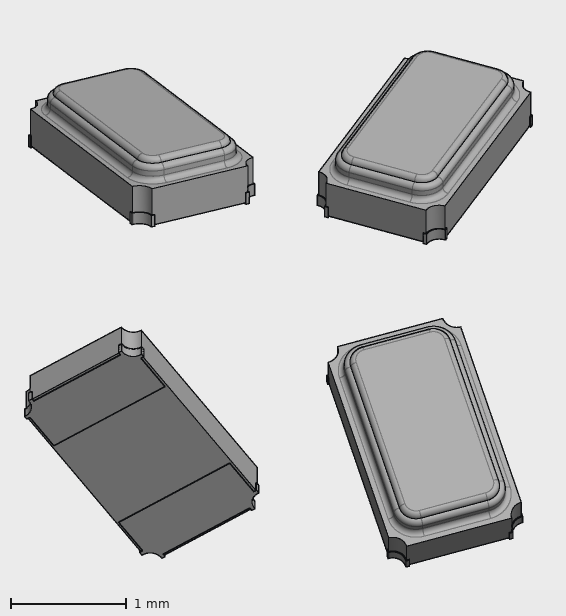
import cadquery as cq

length = 2.07
width = 1.22
plating = 0.01
base_length = length - 2 * plating
base_width = width - 2 * plating
base_top = 0.36
notch_radius = 0.125

terminal_height = 0.11
terminal_reach = 0.15
pad_span = 0.532
pad_inset = 0.02

overall_height = 0.56
lid_height = overall_height - base_top
band = lid_height / 4
lid_margin = 0.05
lid_corner_radius = 0.25
foot_length = base_length - 2 * lid_margin
foot_width = base_width - 2 * lid_margin

corner_points = [
    (x_side * base_length / 2, y_side * base_width / 2)
    for x_side in (-1, 1)
    for y_side in (-1, 1)
]


def block(size_x, size_y, bottom, top):
    """Box centred in X and Y between two heights."""
    return cq.Workplane("XY").workplane(offset=bottom).rect(size_x, size_y).extrude(top - bottom)


def corner_cylinders(radius, height):
    """Upright cylinders centred on the four corners of the base."""
    return cq.Workplane("XY").pushPoints(corner_points).circle(radius).extrude(height)


def lid_tier(inset, bottom, top):
    """Rounded-corner slab set in from the lid foot, with a rounded upper edge."""
    slab = block(foot_length - 2 * inset, foot_width - 2 * inset, bottom, top)
    slab = slab.edges("|Z").fillet(lid_corner_radius - inset)
    return slab.faces(">Z").edges().fillet(band)


def make_flare():
    """Concave sweep from the lid foot up to the lower wall."""
    foot = block(foot_length, foot_width, base_top, base_top + band)
    foot = foot.edges("|Z").fillet(lid_corner_radius)
    path = foot.faces(">Z").wires().val()
    start = cq.Plane(origin=(0, -foot_width / 2, base_top + band), xDir=(0, 1, 0), normal=(1, 0, 0))
    rod = cq.Workplane(start).circle(band).sweep(cq.Workplane(path))
    return foot.cut(rod)


def make_base():
    """Ceramic block with notched corners, raised by the pad thickness."""
    base = block(base_length, base_width, plating, base_top)
    return base.cut(corner_cylinders(notch_radius, base_top))


def make_terminals():
    """Plated corner wraps, following the notches and ending in short tabs."""
    inner_radius = notch_radius - plating
    wrap = (
        cq.Workplane("XY")
        .moveTo(inner_radius, 0)
        .lineTo(inner_radius, -plating)
        .lineTo(terminal_reach, -plating)
        .lineTo(terminal_reach, terminal_reach)
        .lineTo(-plating, terminal_reach)
        .lineTo(-plating, inner_radius)
        .lineTo(0, inner_radius)
        .radiusArc((inner_radius, 0), inner_radius)
        .close()
        .extrude(terminal_height)
        .translate((-base_length / 2, -base_width / 2, 0))
    )
    end_pair = wrap.union(wrap.mirror("XZ"))
    return end_pair.union(end_pair.mirror("YZ"))


def make_pads():
    """One flat pad across each end of the underside."""
    pad_gap = length - 2 * pad_span
    outline = block(base_length - 2 * pad_inset, base_width - 2 * pad_inset, 0, plating)
    pads = outline.cut(block(pad_gap, base_width, 0, plating))
    return pads.cut(corner_cylinders(notch_radius - plating, plating))


lower_tier = lid_tier(band, base_top, base_top + 3 * band)
upper_tier = lid_tier(2 * band, base_top + 2 * band, overall_height)

result = (
    make_base()
    .union(make_terminals())
    .union(make_pads())
    .union(make_flare())
    .union(lower_tier)
    .union(upper_tier)
)